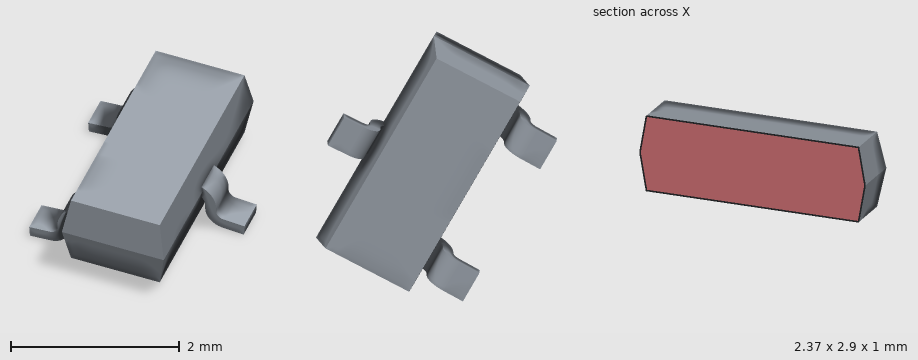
import cadquery as cq
import math


body_width = 1.30
body_length = 2.90
overall_height = 1.00
standoff = 0.05
draft_angle = 10.0
half_height = (overall_height - standoff) / 2
parting_z = standoff + half_height

lead_span = 2.37
lead_width = 0.40
lead_thickness = 0.14
lead_pitch = 0.95
foot_angle = math.radians(4.0)
shank_outer_x = 0.825
shank_top_z = 0.31
shoulder_outer_radius = 0.31
ankle_inner_radius = 0.10


def make_body():
    """Two tapered halves meeting at the parting line."""
    parting_plane = cq.Workplane("XY").workplane(offset=parting_z)
    upper = parting_plane.rect(body_width, body_length).extrude(half_height, taper=draft_angle)
    lower = parting_plane.rect(body_width, body_length).extrude(-half_height, taper=draft_angle)
    return upper.union(lower)


def make_lead(y_center):
    """Lead on the +X side: shoulder bend out of the body, upright shank, ankle bend and foot."""
    shank_inner_x = shank_outer_x - lead_thickness
    shoulder_inner_radius = shoulder_outer_radius - lead_thickness
    shoulder_x = shank_outer_x - shoulder_outer_radius
    ankle_outer_radius = ankle_inner_radius + lead_thickness
    ankle_x = shank_outer_x + ankle_inner_radius

    sin_foot = math.sin(foot_angle)
    cos_foot = math.cos(foot_angle)
    toe_top_x = lead_span / 2
    toe_bottom_x = toe_top_x - lead_thickness * sin_foot
    toe_top_z = lead_thickness * cos_foot
    heel_bottom_x = ankle_x - ankle_outer_radius * sin_foot
    heel_bottom_z = (toe_bottom_x - heel_bottom_x) * math.tan(foot_angle)
    ankle_z = heel_bottom_z + ankle_outer_radius * cos_foot

    def shoulder_point(radius, angle):
        return (shoulder_x + radius * math.cos(angle), shank_top_z + radius * math.sin(angle))

    def ankle_point(radius, angle):
        return (ankle_x + radius * math.cos(angle), ankle_z + radius * math.sin(angle))

    quarter_turn = math.pi / 2
    heel_angle = 3 * quarter_turn - foot_angle
    ankle_mid_angle = (math.pi + heel_angle) / 2

    profile = (
        cq.Workplane("XZ", origin=(0, y_center, 0))
        .moveTo(*shoulder_point(shoulder_outer_radius, quarter_turn))
        .threePointArc(
            shoulder_point(shoulder_outer_radius, quarter_turn / 2),
            (shank_outer_x, shank_top_z),
        )
        .lineTo(shank_outer_x, ankle_z)
        .threePointArc(
            ankle_point(ankle_inner_radius, ankle_mid_angle),
            ankle_point(ankle_inner_radius, heel_angle),
        )
        .lineTo(toe_top_x, toe_top_z)
        .lineTo(toe_bottom_x, 0)
        .lineTo(heel_bottom_x, heel_bottom_z)
        .threePointArc(
            ankle_point(ankle_outer_radius, ankle_mid_angle),
            (shank_inner_x, ankle_z),
        )
        .lineTo(shank_inner_x, shank_top_z)
        .threePointArc(
            shoulder_point(shoulder_inner_radius, quarter_turn / 2),
            shoulder_point(shoulder_inner_radius, quarter_turn),
        )
        .close()
    )
    return profile.extrude(lead_width / 2, both=True)


result = make_body().union(make_lead(0))
for lead_y in (-lead_pitch, lead_pitch):
    result = result.union(make_lead(lead_y).mirror("YZ"))